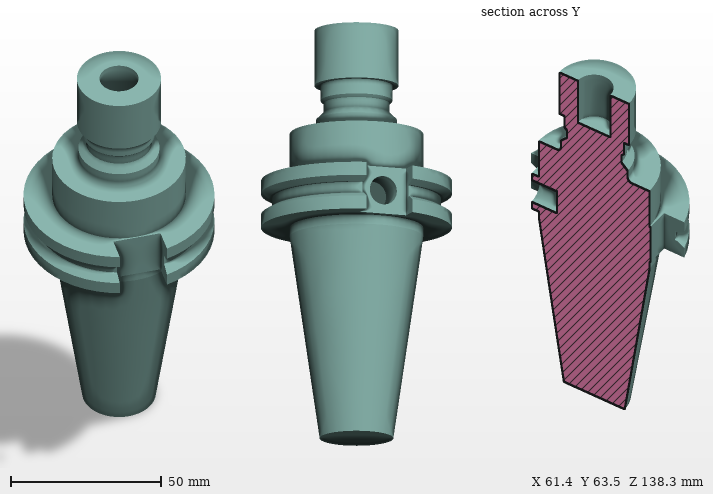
import cadquery as cq
import math


gauge_radius = 44.45 / 2
taper_length = 68.25
taper_on_diameter = 7 / 24
small_end_radius = gauge_radius - taper_length * taper_on_diameter / 2

flange_radius = 63.5 / 2
flange_bottom_z = 3.18
flange_top_z = 19.05
groove_center_z = 11.1
groove_mouth_width = 7.0
groove_floor_width = 3.85
groove_floor_radius = 56.3 / 2
groove_wall_angle = 30.0
groove_mouth_half = groove_mouth_width / 2
groove_floor_half = groove_floor_width / 2
groove_wall_height = groove_mouth_half - groove_floor_half
groove_wall_inner_radius = flange_radius - groove_wall_height / math.tan(math.radians(groove_wall_angle))

body_radius = gauge_radius
body_top_z = 35.0

nose_top_z = 70.1
base_fillet_radius = 1.5
base_radius = 27.0 / 2
shoulder_z = 39.7
neck_radius = 22.0 / 2
neck_bottom_z = shoulder_z + base_radius - neck_radius
collar_radius = 24.0 / 2
collar_bottom_z = 46.35
neck_top_z = collar_bottom_z - (collar_radius - neck_radius)
head_radius = 28.0 / 2
head_length = 18.75
head_bottom_z = nose_top_z - head_length

bore_diameter = 13.0
bore_depth = head_length

slot_width = 16.26
slot_floor_minus_x = 25.0
slot_floor_plus_x = 22.6

side_hole_diameter = 9.6
side_hole_depth = 10.0


def turned_body():
    """Revolve the half section of the shank, flange, body and nose."""
    fillet_mid_offset = base_fillet_radius * (1 - math.sqrt(0.5))
    section = (
        cq.Workplane("XZ")
        .moveTo(0, -taper_length)
        .lineTo(small_end_radius, -taper_length)
        .lineTo(gauge_radius, 0)
        .lineTo(gauge_radius, flange_bottom_z)
        .lineTo(flange_radius, flange_bottom_z)
        .lineTo(flange_radius, groove_center_z - groove_mouth_half)
        .lineTo(groove_wall_inner_radius, groove_center_z - groove_floor_half)
        .lineTo(groove_floor_radius, groove_center_z - groove_floor_half)
        .lineTo(groove_floor_radius, groove_center_z + groove_floor_half)
        .lineTo(groove_wall_inner_radius, groove_center_z + groove_floor_half)
        .lineTo(flange_radius, groove_center_z + groove_mouth_half)
        .lineTo(flange_radius, flange_top_z)
        .lineTo(body_radius, flange_top_z)
        .lineTo(body_radius, body_top_z)
        .lineTo(base_radius + base_fillet_radius, body_top_z)
        .threePointArc(
            (base_radius + fillet_mid_offset, body_top_z + fillet_mid_offset),
            (base_radius, body_top_z + base_fillet_radius),
        )
        .lineTo(base_radius, shoulder_z)
        .lineTo(neck_radius, neck_bottom_z)
        .lineTo(neck_radius, neck_top_z)
        .lineTo(collar_radius, collar_bottom_z)
        .lineTo(collar_radius, head_bottom_z)
        .lineTo(head_radius, head_bottom_z)
        .lineTo(head_radius, nose_top_z)
        .lineTo(0, nose_top_z)
        .close()
    )
    return section.revolve(360, (0, 0, 0), (0, 1, 0))


def drive_slot(floor_distance, side):
    """Cutter from the slot floor out past the flange rim; side is -1 or +1 along X."""
    return (
        cq.Workplane("XY", origin=(side * (floor_distance + flange_radius / 2), 0, flange_bottom_z))
        .rect(flange_radius, slot_width)
        .extrude(flange_top_z - flange_bottom_z)
    )


def nose_bore():
    """Blind flat-bottomed bore down from the free end."""
    return cq.Workplane("XY", origin=(0, 0, nose_top_z)).circle(bore_diameter / 2).extrude(-bore_depth)


def side_hole():
    """Blind hole toward the axis, level with the middle of the groove."""
    return (
        cq.Workplane("YZ", origin=(-slot_floor_minus_x, 0, groove_center_z))
        .circle(side_hole_diameter / 2)
        .extrude(side_hole_depth)
    )


result = (
    turned_body()
    .cut(drive_slot(slot_floor_minus_x, -1))
    .cut(drive_slot(slot_floor_plus_x, 1))
    .cut(nose_bore())
    .cut(side_hole())
)